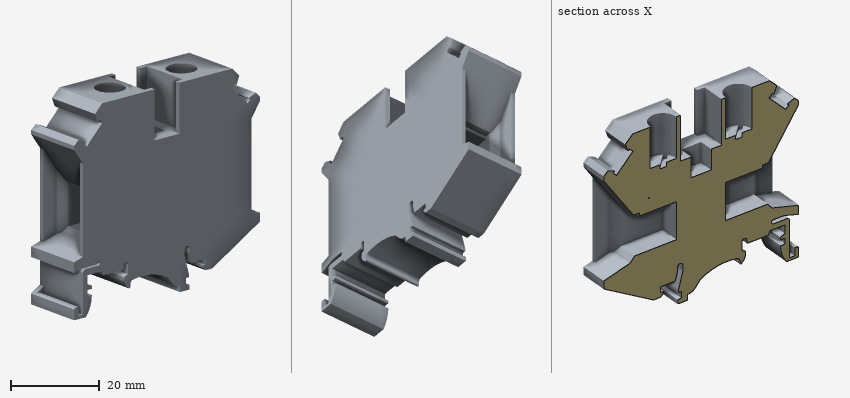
import cadquery as cq
import math


LENGTH = 54.9
WIDTH = 15.0
HEIGHT = 49.8
HALF_LENGTH = LENGTH / 2
HALF_WIDTH = WIDTH / 2

SYMMETRY_Y = 0.05

END_WALL = 24.95
WING_FRONT_TOP = 41.45
WING_ROOT = 36.7
WING_SLOPE = 1.45
LIP_ROOT = 14.5
LIP_SLOPE = 0.27

TOP_SLOT_HALF = 3.7
TOP_SLOT_FLOOR = 37.7
BAY_HALF_LENGTH = 5.7
BAY_HALF_WIDTH = 6.2
WINDOW_LENGTH = 5.6
WINDOW_WIDTH = 7.35
WINDOW_DEPTH = 5.5

SCREW_OFFSET = 10.6
SCREW_DIAMETER = 7.25
SCREW_WELL_DEPTH = 11.0
DRIVER_SLOT_WIDTH = 1.15
DRIVER_SLOT_DEPTH = 1.1
DRIVER_SLOT_ANGLE = -45.0

MOUTH_HALF_WIDTH = 6.5
PASSAGE_HALF_WIDTH = 5.05
PASSAGE_FLOOR = 17.3
PASSAGE_TOP = 27.25
PASSAGE_END = 6.9
MOUTH_TOP = 28.05
MOUTH_BACK = 17.3
FLARE_START = 20.85
FLARE_END = 18.7
FLOOR_STEP_START = 20.0

RIB_SLOT_TOP = 10.5
LEG_SLOT_INNER = 5.2
LEG_SLOT_OUTER = 6.65
LEG_INNER = 3.85
HOOK_UNDERCUT = 11.4
HOOK_TOP = 4.95
HOOK_CEILING = 6.3

FOOT_WALL = END_WALL - SYMMETRY_Y
RELEASE_SLOT_TOP = 12.45
RELEASE_SLOT_BOTTOM = 11.5
RELEASE_SLOT_END = 19.8
FOOT_BEND_RADIUS = 0.8
FOOT_INNER = 23.45
FOOT_TOOTH = 22.25
FOOT_CORNER_RADIUS = 0.3
FOOT_SHOULDER = 4.2
TOE_LENGTH = 27.1
TOE_TOP = 2.95
TOE_FRONT_TOP = 2.6
FOOT_CEILING = 9.9
BODY_BOTTOM = 8.9
CLIP_SLOT_INNER = 11.55
CLIP_SLOT_OUTER = 12.75

GROOVE_END_WALL = 1.4
GROOVE_LIP = 26.25
GROOVE_FLOOR = 0.8


def wing_underside(distance):
    """Height of the sloping wing underside at a distance from the symmetry plane."""
    return WING_ROOT + WING_SLOPE * (distance - END_WALL)


def lip_top(distance):
    """Height of the sloping lip top at a distance from the symmetry plane."""
    return LIP_ROOT - LIP_SLOPE * (distance - END_WALL)


def upper_edge(side):
    """Points from the top slot, over the marker notch and wing, to the lip."""
    reach = HALF_LENGTH - side * SYMMETRY_Y
    half = [
        (TOP_SLOT_HALF, TOP_SLOT_FLOOR),
        (TOP_SLOT_HALF, HEIGHT),
        (19.2, HEIGHT),
        (21.35, 47.7),
        (20.55, 45.6),
        (20.1, 46.0),
        (19.2, 45.15),
        (23.8, 40.55),
        (24.6, 41.35),
        (24.15, 41.75),
        (26.2, 42.6),
        (reach, WING_FRONT_TOP),
        (reach, wing_underside(reach)),
        (END_WALL, WING_ROOT),
        (END_WALL, LIP_ROOT),
        (reach, lip_top(reach)),
    ]
    return [(SYMMETRY_Y + side * distance, z) for distance, z in half]


def add_spring_foot(path):
    """Release slot, then the thin spring foot down to the floor and back up to the body."""
    slot_middle = (RELEASE_SLOT_TOP + RELEASE_SLOT_BOTTOM) / 2
    slot_radius = (RELEASE_SLOT_TOP - RELEASE_SLOT_BOTTOM) / 2
    slot_round = -RELEASE_SLOT_END - slot_radius
    bend_inset = FOOT_BEND_RADIUS * (1 - math.sqrt(0.5))
    corner_inset = FOOT_CORNER_RADIUS * (1 - math.sqrt(0.5))
    return (
        path.lineTo(-HALF_LENGTH, 11.25)
        .lineTo(-23.3, RELEASE_SLOT_TOP)
        .lineTo(slot_round, RELEASE_SLOT_TOP)
        .threePointArc((-RELEASE_SLOT_END, slot_middle), (slot_round, RELEASE_SLOT_BOTTOM))
        .lineTo(-FOOT_WALL + FOOT_BEND_RADIUS, RELEASE_SLOT_BOTTOM)
        .threePointArc(
            (-FOOT_WALL + bend_inset, RELEASE_SLOT_BOTTOM - bend_inset),
            (-FOOT_WALL, RELEASE_SLOT_BOTTOM - FOOT_BEND_RADIUS),
        )
        .lineTo(-FOOT_WALL, FOOT_SHOULDER)
        .lineTo(-TOE_LENGTH, TOE_TOP)
        .lineTo(-HALF_LENGTH, TOE_FRONT_TOP)
        .lineTo(-HALF_LENGTH, 0)
        .lineTo(-24.0, 0)
        .threePointArc((-22.7, 2.3), (-FOOT_TOOTH, HOOK_TOP))
        .lineTo(-FOOT_INNER + FOOT_CORNER_RADIUS, HOOK_TOP)
        .threePointArc(
            (-FOOT_INNER + corner_inset, HOOK_TOP + corner_inset),
            (-FOOT_INNER, HOOK_TOP + FOOT_CORNER_RADIUS),
        )
        .lineTo(-FOOT_INNER, 6.35)
        .lineTo(-FOOT_TOOTH, 6.35)
        .lineTo(-FOOT_TOOTH, 7.15)
        .lineTo(-FOOT_INNER, 7.75)
        .lineTo(-FOOT_INNER, FOOT_CEILING)
        .lineTo(-19.45, FOOT_CEILING)
        .lineTo(-18.9, BODY_BOTTOM)
    )


def add_middle_arch(path):
    """Clip slot, rounded clip nose, arched underside and the middle leg."""
    clip_radius = (CLIP_SLOT_OUTER - CLIP_SLOT_INNER) / 2
    clip_middle = (CLIP_SLOT_OUTER + CLIP_SLOT_INNER) / 2
    return (
        path.lineTo(-12.9, BODY_BOTTOM)
        .lineTo(-CLIP_SLOT_OUTER, RIB_SLOT_TOP - clip_radius)
        .threePointArc(
            (-clip_middle, RIB_SLOT_TOP), (-CLIP_SLOT_INNER, RIB_SLOT_TOP - clip_radius)
        )
        .lineTo(-CLIP_SLOT_INNER, 7.6)
        .lineTo(-12.15, 7.35)
        .threePointArc((-12.45, 7.15), (-12.6, 6.8))
        .lineTo(-12.6, 6.1)
        .threePointArc((-12.15, 5.05), (-11.4, 4.25))
        .threePointArc((-11.05, 4.1), (-10.75, 4.45))
        .lineTo(-10.75, 5.2)
        .threePointArc((-10.55, 5.65), (-10.05, 5.95))
        .threePointArc((-4.4, 5.95), (0.15, 4.25))
        .lineTo(1.6, 2.5)
        .threePointArc((2.5, 1.8), (LEG_INNER, 1.55))
        .lineTo(LEG_INNER, 0)
        .lineTo(LEG_SLOT_OUTER, 0)
        .lineTo(LEG_SLOT_OUTER, 1.15)
        .lineTo(5.65, 1.4)
        .lineTo(5.65, 2.95)
        .lineTo(6.5, 2.95)
        .lineTo(6.5, 3.7)
    )


def add_fixed_foot(path):
    """Narrow slot beside the middle leg, then the fixed hook of the rail foot."""
    slot_radius = (LEG_SLOT_OUTER - LEG_SLOT_INNER) / 2
    slot_middle = (LEG_SLOT_OUTER + LEG_SLOT_INNER) / 2
    return (
        path.lineTo(LEG_SLOT_INNER, 8.35)
        .lineTo(LEG_SLOT_INNER, RIB_SLOT_TOP - slot_radius)
        .threePointArc(
            (slot_middle, RIB_SLOT_TOP), (LEG_SLOT_OUTER, RIB_SLOT_TOP - slot_radius)
        )
        .lineTo(LEG_SLOT_OUTER, 8.7)
        .lineTo(7.25, HOOK_CEILING)
        .lineTo(HOOK_UNDERCUT, HOOK_CEILING)
        .lineTo(HOOK_UNDERCUT, HOOK_TOP)
        .lineTo(10.6, HOOK_TOP)
        .lineTo(10.6, 4.35)
        .lineTo(HOOK_UNDERCUT, 3.55)
        .lineTo(13.4, 3.55)
        .lineTo(HALF_LENGTH, 11.65)
    )


def body():
    """Solid block with the full side outline."""
    path = cq.Workplane("YZ").polyline(upper_edge(-1))
    path = add_spring_foot(path)
    path = add_middle_arch(path)
    path = add_fixed_foot(path)
    for y, z in reversed(upper_edge(1)):
        path = path.lineTo(y, z)
    return path.close().extrude(HALF_WIDTH, both=True)


def box(x_range, y_range, z_range):
    """Axis-aligned box from its limits along X, Y and Z."""
    limits = (x_range, y_range, z_range)
    size = [high - low for low, high in limits]
    corner = [low for low, high in limits]
    return cq.Workplane("XY").box(*size, centered=False).translate(tuple(corner))


def top_bay():
    """Widened part of the top slot and the rectangular window in its floor."""
    bay = box(
        (-BAY_HALF_WIDTH, BAY_HALF_WIDTH),
        (-BAY_HALF_LENGTH, BAY_HALF_LENGTH),
        (TOP_SLOT_FLOOR, HEIGHT),
    )
    window = box(
        (-WINDOW_WIDTH / 2, WINDOW_WIDTH / 2),
        (-WINDOW_LENGTH / 2, WINDOW_LENGTH / 2),
        (TOP_SLOT_FLOOR - WINDOW_DEPTH, TOP_SLOT_FLOOR),
    )
    return bay.union(window)


def screw_well(y):
    """Round well with a diagonal driver slot sunk into the screw head at its bottom."""
    full_depth = SCREW_WELL_DEPTH + DRIVER_SLOT_DEPTH
    top = cq.Workplane("XY").workplane(offset=HEIGHT)
    well = top.circle(SCREW_DIAMETER / 2).extrude(-SCREW_WELL_DEPTH)
    bore = top.circle(SCREW_DIAMETER / 2).extrude(-full_depth)
    slot = (
        top.transformed(rotate=(0, 0, DRIVER_SLOT_ANGLE))
        .rect(SCREW_DIAMETER, DRIVER_SLOT_WIDTH)
        .extrude(-full_depth)
    )
    return well.union(slot.intersect(bore)).translate((0, y, 0))


def wire_entry():
    """Flared mouth and rectangular passage, for a symmetry plane at Y = 0, opening to -Y."""
    outside = HALF_LENGTH + SYMMETRY_Y
    ceiling_end = END_WALL - (WING_ROOT - MOUTH_TOP) / WING_SLOPE
    side_shape = (
        cq.Workplane("YZ")
        .polyline([
            (-outside, lip_top(outside)),
            (-FLOOR_STEP_START, lip_top(FLOOR_STEP_START)),
            (-FLARE_END, PASSAGE_FLOOR),
            (-MOUTH_BACK, PASSAGE_FLOOR),
            (-MOUTH_BACK, MOUTH_TOP),
            (-ceiling_end, MOUTH_TOP),
            (-outside, wing_underside(outside)),
        ])
        .close()
        .extrude(HALF_WIDTH, both=True)
    )
    plan_shape = (
        cq.Workplane("XY")
        .polyline([
            (-MOUTH_HALF_WIDTH, -outside),
            (-MOUTH_HALF_WIDTH, -FLARE_START),
            (-PASSAGE_HALF_WIDTH, -FLARE_END),
            (-PASSAGE_HALF_WIDTH, -MOUTH_BACK),
            (PASSAGE_HALF_WIDTH, -MOUTH_BACK),
            (PASSAGE_HALF_WIDTH, -FLARE_END),
            (MOUTH_HALF_WIDTH, -FLARE_START),
            (MOUTH_HALF_WIDTH, -outside),
        ])
        .close()
        .extrude(HEIGHT)
    )
    passage = box(
        (-PASSAGE_HALF_WIDTH, PASSAGE_HALF_WIDTH),
        (-MOUTH_BACK, -PASSAGE_END),
        (PASSAGE_FLOOR, PASSAGE_TOP),
    )
    return side_shape.intersect(plan_shape).union(passage)


def foot_groove():
    """Screwdriver groove behind the flat-topped lip of the spring foot, open at the +X end."""
    groove_length = WIDTH - GROOVE_END_WALL
    return (
        cq.Workplane("YZ")
        .workplane(offset=HALF_WIDTH - groove_length)
        .moveTo(-HALF_LENGTH, TOE_FRONT_TOP)
        .lineTo(-TOE_LENGTH, TOE_TOP)
        .lineTo(-GROOVE_LIP, TOE_TOP)
        .lineTo(-GROOVE_LIP, GROOVE_FLOOR)
        .lineTo(-FOOT_WALL, GROOVE_FLOOR)
        .lineTo(-FOOT_WALL, FOOT_SHOULDER)
        .lineTo(-HALF_LENGTH, FOOT_SHOULDER)
        .close()
        .extrude(groove_length)
    )


entry = wire_entry()
pockets = top_bay().union(entry).union(entry.mirror("XZ"))
for screw_y in (-SCREW_OFFSET, SCREW_OFFSET):
    pockets = pockets.union(screw_well(screw_y))
pockets = pockets.translate((0, SYMMETRY_Y, 0))

result = body().cut(pockets).cut(foot_groove())